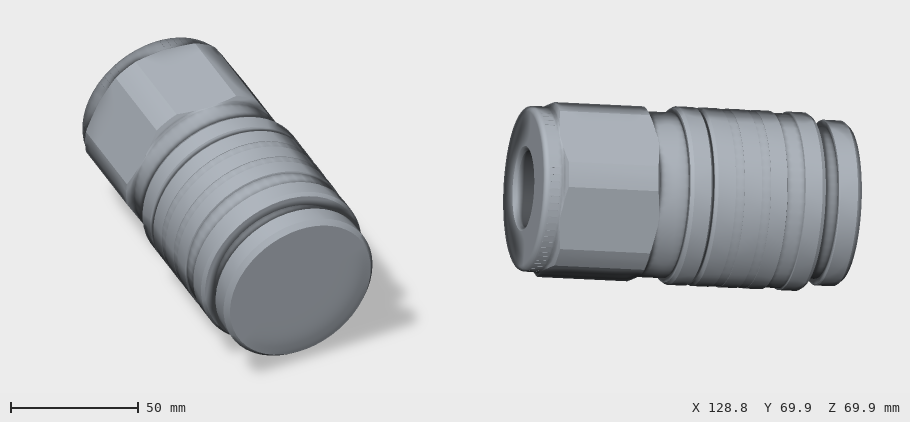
import cadquery as cq
import math

length = 128.8
outer_radius = 34.97
body_radius = 32.5

rim_fillet = 2.0
port_radius = 15.0
port_depth = 18.0
recess_radius = 16.6
recess_depth = 25.8
port_chamfer_width = 1.7
port_chamfer_depth = 1.4

flat_clearance = 0.03
hex_apothem = body_radius + flat_clearance
hex_start = 9.1
hex_end = 45.5
cone_rise = outer_radius - body_radius
hex_half_angle = math.radians(30)
cone_angle = math.radians(30)
cone_length = cone_rise * math.tan(cone_angle)
cone_root_fillet = 0.9

mark_start = 2.2
mark_end = 6.2
mark_width = 0.3
mark_depth = 0.1
short_group = (34.5, 49.5, 4)
long_group = (85.0, 358.0, 56)

relief_start = 58.1
relief_radius = 32.1

ring_start = 58.6
ring_end = 68.4
ring_front_chamfer = (1.4, 0.9)
ring_back_chamfer = (1.5, 2.3)

sleeve_end = 113.3
sleeve_front_chamfer = (1.3, 0.9)
sleeve_back_chamfer = (1.5, 1.0)
shallow_depth = 0.19
shallow_grooves = [(76.8, 80.4), (87.3, 90.9)]
deep_depth = 0.8
deep_groove = (97.6, 105.0)
deep_groove_slope = 0.3

neck_radius = 29.9
flange_start = 119.3
flange_front_chamfer = 0.4
flange_end_chamfer = (2.0, 1.8)

overrun = 1.3
edge_margin = 0.1


def turned(points):
    """Solid of revolution about X under a list of (x, radius) points."""
    outline = [(points[0][0], 0)] + points + [(points[-1][0], 0)]
    return cq.Workplane("XY").polyline(outline).close().revolve(360, (0, 0, 0), (1, 0, 0))


def collar(start, end, radius, start_chamfer, end_chamfer):
    """Turned collar with a chamfer (along X, radial) on each edge."""
    return turned([
        (start, radius - start_chamfer[1]),
        (start + start_chamfer[0], radius),
        (end - end_chamfer[0], radius),
        (end, radius - end_chamfer[1]),
    ])


def ring_groove(start, end, depth, slope=0.0):
    """Ring to remove from the outer diameter; its side walls lean by slope along X."""
    clear_radius = outer_radius + overrun
    blank = turned([(start, clear_radius), (end, clear_radius)])
    floor_radius = outer_radius - depth
    core = turned([
        (start, outer_radius),
        (start + slope, floor_radius),
        (end - slope, floor_radius),
        (end, outer_radius),
    ])
    return blank.cut(core)


def fitting_body():
    """Rim, hexagon and plain body, turned and then milled to six flats."""
    cone_start = hex_start - cone_length
    cone_end = hex_end + cone_length
    blank = turned([
        (0, body_radius),
        (cone_start, body_radius),
        (hex_start, outer_radius),
        (hex_end, outer_radius),
        (cone_end, body_radius),
        (relief_start, body_radius),
    ])
    for x in (cone_start, cone_end):
        root = cq.selectors.BoxSelector(
            (x - edge_margin, -outer_radius, -outer_radius),
            (x + edge_margin, outer_radius, outer_radius),
        )
        blank = blank.edges(root).edges("%CIRCLE").fillet(cone_root_fillet)
    blank = blank.faces("<X").edges().fillet(rim_fillet)
    hex_prism = (
        cq.Workplane("YZ", origin=(-overrun, 0, 0))
        .polygon(6, 2 * hex_apothem / math.cos(hex_half_angle))
        .extrude(relief_start + 2 * overrun)
    )
    return blank.solids().intersect(hex_prism)


def port():
    """Blind bore with a countersunk mouth and a wider recess at its inner end."""
    return turned([
        (0, port_radius + port_chamfer_width),
        (port_chamfer_depth, port_radius),
        (port_depth, port_radius),
        (port_depth, recess_radius),
        (recess_depth, recess_radius),
    ])


def engraved_marks():
    """Short axial slots on the rim."""
    marks = cq.Workplane("XY")
    mark_length = mark_end - mark_start
    blade = cq.Workplane("XY").box(mark_length, mark_width, 2 * mark_depth).translate(
        ((mark_start + mark_end) / 2, 0, body_radius)
    )
    for first, last, count in (short_group, long_group):
        pitch = (last - first) / (count - 1)
        for i in range(count):
            marks = marks.add(blade.rotate((0, 0, 0), (1, 0, 0), first + i * pitch))
    return marks.combine(glue=True)


def sleeve():
    """Outer sleeve with its turned grooves."""
    body = collar(ring_end, sleeve_end, outer_radius, sleeve_front_chamfer, sleeve_back_chamfer)
    for start, end in shallow_grooves:
        body = body.cut(ring_groove(start, end, shallow_depth))
    return body.cut(ring_groove(*deep_groove, deep_depth, deep_groove_slope))


relief = turned([(relief_start, relief_radius), (ring_start, relief_radius)])
lock_ring = collar(ring_start, ring_end, outer_radius, ring_front_chamfer, ring_back_chamfer)
neck = turned([(sleeve_end, neck_radius), (flange_start, neck_radius)])
flange = collar(
    flange_start, length, body_radius,
    (flange_front_chamfer, flange_front_chamfer), flange_end_chamfer,
)

result = fitting_body().cut(port()).cut(engraved_marks())
for section in (relief, lock_ring, sleeve(), neck, flange):
    result = result.union(section)